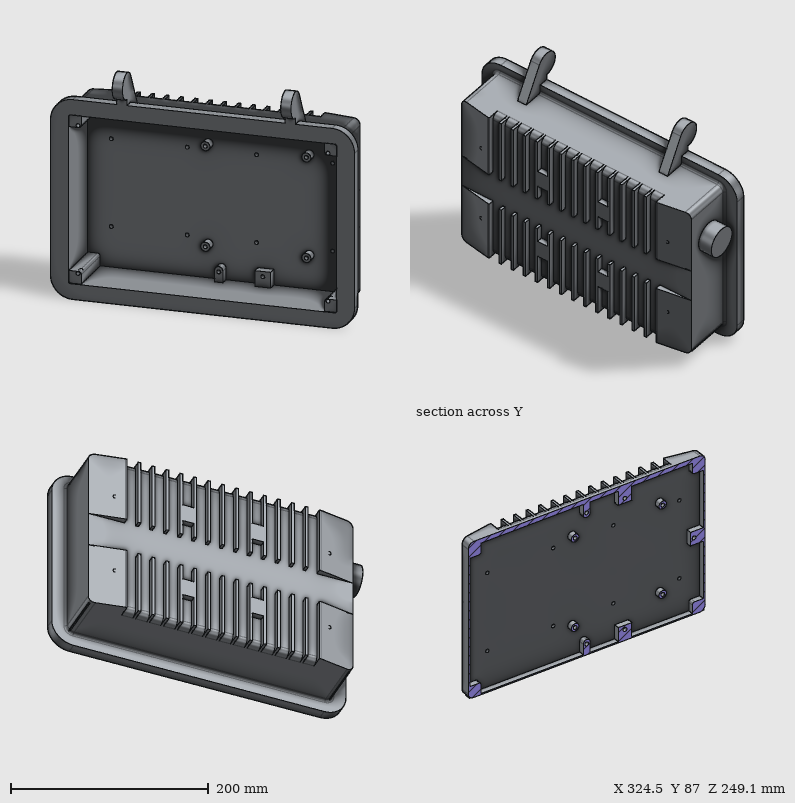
import cadquery as cq
import math


FLANGE_WIDTH = 324.5
FLANGE_HEIGHT = 214.0
FLANGE_THICKNESS = 11.0
FLANGE_RADIUS = 24.0
OPENING_WIDTH = 286.0
OPENING_HEIGHT = 180.7
OPENING_RADIUS = 2.5
CAVITY_DEPTH = 61.5

BODY_WIDTH = 292.0
BODY_HEIGHT = 188.8
BODY_RISE = 2.0
BODY_DEPTH = 66.2
BODY_RADIUS = 7.0
NECK_RADIUS = 3.0
BODY_TOP = BODY_RISE + BODY_HEIGHT / 2

FIN_TIP = 72.7
FIN_COUNT = 13
FIN_THICKNESS = 3.02
FIN_FIELD_WIDTH = 212.0
FIN_GAP = (FIN_FIELD_WIDTH - FIN_COUNT * FIN_THICKNESS) / (FIN_COUNT + 1)
FIN_PITCH = FIN_GAP + FIN_THICKNESS
SLOPE_INNER_X = 108.0
CHANNEL_HEIGHT = 39.5
PAD_GAPS = (4, 9)
PAD_HEIGHT = 20.0

LUG_CENTERS_X = (-86.0, 93.8)
LUG_THICKNESS = 11.0
LUG_RADIUS = 14.3
LUG_EYE_Z = 127.8
LUG_HEEL_Y = 34.5

STUB_RADIUS = 17.2
STUB_Y = 37.0
STUB_Z = 47.5

HOLE_RADIUS = 2.0
HOLE_DEPTH = 8.0
CORNER_HOLE_DEPTH = 10.0
EDGE_HOLE_Z = 79.0

POST_RECESS = 2.0
POST_WIDTH = 13.3
POST_RADIUS = 3.0
CORNER_HOLE_X = 133.3

SUPPORT_LENGTH = 10.0
SUPPORT_FRONT = CAVITY_DEPTH - SUPPORT_LENGTH
SUPPORT_REACH = 17.0
ROUND_SUPPORT_WIDTH = 8.8
ROUND_SUPPORT_RADIUS = 4.2
SQUARE_SUPPORT_X = 47.0
SQUARE_SUPPORT_WIDTH = 17.0
SIDE_SUPPORT_REACH = 15.5
SIDE_HOLE_X = 132.0
STANDOFF_CENTERS_X = (-14.3, 93.5)
STANDOFF_Z = 54.0
STANDOFF_RADIUS = 5.0

FLOOR_HOLE_XS = (-118.0, -37.0, 37.0, 118.0)
FLOOR_HOLE_Z = 47.0

OVERLAP = 1.0


def plane_at(y):
    """Sketch plane facing the front at depth y; extruding by a negative amount goes back."""
    return cq.Workplane("XZ", origin=(0, y, 0))


def block(x_center, z_center, width, height, y_front, y_back):
    return plane_at(y_front).center(x_center, z_center).rect(width, height).extrude(y_front - y_back)


def cylinder(x, z, radius, y_front, y_back):
    return plane_at(y_front).center(x, z).circle(radius).extrude(y_front - y_back)


def rounded_box(depth):
    """Body outline with rounded corners, from the front face back to the given depth."""
    body = block(0, BODY_RISE, BODY_WIDTH, BODY_HEIGHT, 0, depth)
    return body.edges("|Y").fillet(BODY_RADIUS)


def core():
    """Flange and body, with the long back edges of the body rounded."""
    profile = (
        cq.Workplane("YZ", origin=(-BODY_WIDTH / 2, 0, 0))
        .center(BODY_DEPTH / 2, BODY_RISE)
        .rect(BODY_DEPTH, BODY_HEIGHT)
        .extrude(BODY_WIDTH)
        .edges(">Y and |X")
        .fillet(BODY_RADIUS)
    )
    body = rounded_box(BODY_DEPTH).intersect(profile)
    flange = block(0, 0, FLANGE_WIDTH, FLANGE_HEIGHT, 0, FLANGE_THICKNESS)
    flange = flange.edges("|Y").fillet(FLANGE_RADIUS)
    margin = NECK_RADIUS
    neck_zone = cq.selectors.BoxSelector(
        (-BODY_WIDTH / 2 - margin, FLANGE_THICKNESS - margin / 2, BODY_TOP - BODY_HEIGHT - margin),
        (BODY_WIDTH / 2 + margin, FLANGE_THICKNESS + margin / 2, BODY_TOP + margin),
    )
    return flange.union(body).edges(neck_zone).fillet(NECK_RADIUS)


def fin_pack():
    """Fins and sloped end blocks, reaching into the rounded back edges of the body."""
    root = BODY_DEPTH - BODY_RADIUS
    half_width = BODY_WIDTH / 2
    outline = [
        (-half_width, root),
        (-half_width, BODY_DEPTH),
        (-SLOPE_INNER_X, FIN_TIP),
        (SLOPE_INNER_X, FIN_TIP),
        (half_width, BODY_DEPTH),
        (half_width, root),
    ]
    pack = (
        cq.Workplane("XY", origin=(0, 0, BODY_TOP - BODY_HEIGHT))
        .polyline(outline)
        .close()
        .extrude(BODY_HEIGHT)
        .intersect(rounded_box(FIN_TIP))
    )
    for index in range(FIN_COUNT + 1):
        x = (index - FIN_COUNT / 2) * FIN_PITCH
        pack = pack.cut(block(x, BODY_RISE, FIN_GAP, BODY_HEIGHT, root, FIN_TIP))
        if index in PAD_GAPS:
            for side in (-1, 1):
                pack = pack.union(block(x, side * FLOOR_HOLE_Z, FIN_GAP, PAD_HEIGHT, root, FIN_TIP))
    return pack.cut(block(0, 0, BODY_WIDTH, CHANNEL_HEIGHT, BODY_DEPTH, FIN_TIP))


def lug(x_center):
    """Hinge lug: a round eye with a straight front and a back edge tangent to the eye."""
    heel_to_eye = math.hypot(LUG_HEEL_Y, LUG_EYE_Z - BODY_TOP)
    tangent_angle = math.atan2(LUG_EYE_Z - BODY_TOP, LUG_HEEL_Y) + math.asin(LUG_RADIUS / heel_to_eye)
    tangent_y = LUG_RADIUS * math.sin(tangent_angle)
    tangent_z = LUG_EYE_Z + LUG_RADIUS * math.cos(tangent_angle)
    foot_z = BODY_TOP - OVERLAP
    return (
        cq.Workplane("YZ", origin=(x_center - LUG_THICKNESS / 2, 0, 0))
        .moveTo(0, foot_z)
        .lineTo(LUG_HEEL_Y, foot_z)
        .lineTo(LUG_HEEL_Y, BODY_TOP)
        .lineTo(tangent_y, tangent_z)
        .threePointArc((-LUG_RADIUS, LUG_EYE_Z), (0, LUG_EYE_Z - LUG_RADIUS))
        .close()
        .extrude(LUG_THICKNESS)
    )


def stub():
    length = (FLANGE_WIDTH - BODY_WIDTH) / 2
    return (
        cq.Workplane("YZ", origin=(-FLANGE_WIDTH / 2, 0, 0))
        .center(STUB_Y, STUB_Z)
        .circle(STUB_RADIUS)
        .extrude(length)
    )


def corner_post(x_side, z_side):
    width = POST_WIDTH + OVERLAP
    x = x_side * (OPENING_WIDTH / 2 + OVERLAP - width / 2)
    z = z_side * (OPENING_HEIGHT / 2 + OVERLAP - width / 2)
    inner_edge = ("<X" if x_side > 0 else ">X") + " and " + ("<Z" if z_side > 0 else ">Z")
    post = block(x, z, width, width, POST_RECESS, CAVITY_DEPTH + OVERLAP)
    return post.edges(inner_edge).fillet(POST_RADIUS)


def edge_support(x, z_side, width):
    """Rectangular support standing against the top or bottom cavity wall."""
    height = SUPPORT_REACH + OVERLAP
    z = z_side * (OPENING_HEIGHT / 2 + OVERLAP - height / 2)
    return block(x, z, width, height, SUPPORT_FRONT, CAVITY_DEPTH + OVERLAP)


def round_support(z_side):
    """Support with a rounded free end."""
    end = ">Z" if z_side < 0 else "<Z"
    support = edge_support(0, z_side, ROUND_SUPPORT_WIDTH)
    return support.edges(f"|Y and {end}").fillet(ROUND_SUPPORT_RADIUS)


def side_support():
    width = SIDE_SUPPORT_REACH + OVERLAP
    x = OPENING_WIDTH / 2 + OVERLAP - width / 2
    return block(x, 0, width, SQUARE_SUPPORT_WIDTH, SUPPORT_FRONT, CAVITY_DEPTH + OVERLAP)


def hole(x, z, y_front, depth):
    return cylinder(x, z, HOLE_RADIUS, y_front, y_front + depth)


cavity = block(0, 0, OPENING_WIDTH, OPENING_HEIGHT, 0, CAVITY_DEPTH).edges("|Y").fillet(OPENING_RADIUS)
result = core().union(fin_pack()).cut(cavity).union(stub())
for lug_x in LUG_CENTERS_X:
    result = result.union(lug(lug_x))

result = result.union(side_support())
for z_side in (-1, 1):
    for x_side in (-1, 1):
        result = result.union(corner_post(x_side, z_side))
    result = result.union(round_support(z_side))
    result = result.union(edge_support(SQUARE_SUPPORT_X, z_side, SQUARE_SUPPORT_WIDTH))
    for x in STANDOFF_CENTERS_X:
        standoff = cylinder(x, z_side * STANDOFF_Z, STANDOFF_RADIUS, SUPPORT_FRONT, CAVITY_DEPTH + OVERLAP)
        result = result.union(standoff)

result = result.cut(hole(SIDE_HOLE_X, 0, SUPPORT_FRONT, HOLE_DEPTH))
for z_side in (-1, 1):
    for x_side in (-1, 1):
        x = x_side * CORNER_HOLE_X
        result = result.cut(hole(x, z_side * EDGE_HOLE_Z, POST_RECESS, CORNER_HOLE_DEPTH))
    for x in (0, SQUARE_SUPPORT_X):
        result = result.cut(hole(x, z_side * EDGE_HOLE_Z, SUPPORT_FRONT, HOLE_DEPTH))
    for x in STANDOFF_CENTERS_X:
        result = result.cut(hole(x, z_side * STANDOFF_Z, SUPPORT_FRONT, HOLE_DEPTH))
    for x in FLOOR_HOLE_XS:
        result = result.cut(hole(x, z_side * FLOOR_HOLE_Z, CAVITY_DEPTH, HOLE_DEPTH))